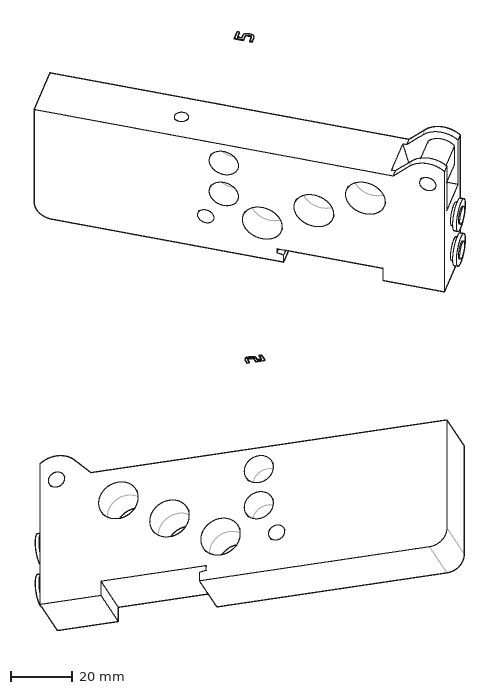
import cadquery as cq
import math

TOTAL_LENGTH = 142.2
TOTAL_HEIGHT = 82.6
WIDTH = 19.0

BODY_LENGTH = 139.4
BODY_HEIGHT = 46.1
CORNER_RADIUS = 6.0

EAR_X = 133.7
EAR_Z = 45.4
EAR_RADIUS = 8.8
BAR_RADIUS = 6.0
BAR_THICKNESS = 9.0

SLOT_WIDTH = 13.5
SLOT_START_X = 120.6
SLOT_RAMP_LENGTH = 3.4
SLOT_DEPTH = 13.1

NOTCH_START_X = 82.5
NOTCH_END_X = 118.5
NOTCH_HEIGHT = 5.3
HOOK_LENGTH = 2.3
HOOK_HEIGHT = 3.1
HOOK_SLOPE_RISE = 0.4

LARGE_DIAMETER = 13.5
LARGE_COUNT = 3
LARGE_FIRST_X = 77.5
LARGE_FIRST_Z = 15.2
LARGE_STEP_X = 17.5
LARGE_STEP_Z = 9.5
MEDIUM_DIAMETER = 10.0
MEDIUM_X = 64.4
MEDIUM_ZS = (24.7, 38.1)
SMALL_DIAMETER = 5.5
SMALL_X = 58.3
SMALL_Z = 13.7

TOP_HOLE_DIAMETER = 4.7
TOP_HOLE_X = 47.4
TOP_HOLE_DEPTH = 14.2

STUD_Y = 1.5
STUD_ZS = (9.5, 24.6)
NECK_DIAMETER = 8.0
HEAD_DIAMETER = 11.0
TIP_DIAMETER = 6.0
HEAD_THICKNESS = 1.3
TIP_LENGTH = 0.4
NECK_LENGTH = TOTAL_LENGTH - BODY_LENGTH - HEAD_THICKNESS - TIP_LENGTH

MARKER_X = 64.7
MARKER_Y = 2.0
MARKER_LENGTH = 6.1
MARKER_WIDTH = 3.4
MARKER_THICKNESS = 0.4
STROKE = 0.9
BOWL_START = 2.3
BOWL_RADIUS = 1.4


def cross_cylinder(x, z, diameter, length):
    """Cylinder along Y, centred on mid-width."""
    return cq.Workplane("XZ", origin=(x, 0, z)).circle(diameter / 2).extrude(length / 2, both=True)


def cross_prism(points, length):
    """Straight-sided outline in XZ, extruded along Y about mid-width."""
    return cq.Workplane("XZ").polyline(points).close().extrude(length / 2, both=True)


def housing_block():
    """Block with a rounded lower corner and a rounded hump for the ears, tangent to a 45 degree slope."""
    tangent_offset = EAR_RADIUS * math.sqrt(0.5)
    tangent_x = EAR_X - tangent_offset
    tangent_z = EAR_Z + tangent_offset
    slope_start_x = tangent_x - (tangent_z - BODY_HEIGHT)
    ear_end_z = EAR_Z + math.sqrt(EAR_RADIUS**2 - (BODY_LENGTH - EAR_X) ** 2)
    return (
        cq.Workplane("XZ")
        .moveTo(CORNER_RADIUS, 0)
        .lineTo(BODY_LENGTH, 0)
        .lineTo(BODY_LENGTH, ear_end_z)
        .threePointArc((EAR_X, EAR_Z + EAR_RADIUS), (tangent_x, tangent_z))
        .lineTo(slope_start_x, BODY_HEIGHT)
        .lineTo(0, BODY_HEIGHT)
        .lineTo(0, CORNER_RADIUS)
        .radiusArc((CORNER_RADIUS, 0), -CORNER_RADIUS)
        .close()
        .extrude(WIDTH / 2, both=True)
    )


def ear_slot():
    """Slot between the ears, open to the top and to the end face."""
    floor_z = BODY_HEIGHT - SLOT_DEPTH
    ear_top_z = EAR_Z + EAR_RADIUS
    return cross_prism(
        [
            (SLOT_START_X, ear_top_z),
            (SLOT_START_X, BODY_HEIGHT),
            (SLOT_START_X + SLOT_RAMP_LENGTH, floor_z),
            (BODY_LENGTH, floor_z),
            (BODY_LENGTH, ear_top_z),
        ],
        SLOT_WIDTH,
    )


def hinge_bar():
    """Round bar joining the ears, with a vertical flat on each side."""
    flats = cq.Workplane("XY", origin=(EAR_X, 0, EAR_Z)).box(BAR_THICKNESS, SLOT_WIDTH, 3 * BAR_RADIUS)
    return cross_cylinder(EAR_X, EAR_Z, 2 * BAR_RADIUS, SLOT_WIDTH).intersect(flats)


def rail_notch():
    """Notch in the underside, undercut by a hook at one end."""
    hook_tip_x = NOTCH_START_X + HOOK_LENGTH
    return cross_prism(
        [
            (hook_tip_x, 0),
            (hook_tip_x, HOOK_HEIGHT),
            (NOTCH_START_X, HOOK_HEIGHT + HOOK_SLOPE_RISE),
            (NOTCH_START_X, NOTCH_HEIGHT),
            (NOTCH_END_X, NOTCH_HEIGHT),
            (NOTCH_END_X, 0),
        ],
        WIDTH,
    )


def cross_holes():
    """Position and diameter of every hole through the width."""
    holes = [(EAR_X, EAR_Z, SMALL_DIAMETER), (SMALL_X, SMALL_Z, SMALL_DIAMETER)]
    holes += [(MEDIUM_X, z, MEDIUM_DIAMETER) for z in MEDIUM_ZS]
    for i in range(LARGE_COUNT):
        holes.append((LARGE_FIRST_X + i * LARGE_STEP_X, LARGE_FIRST_Z + i * LARGE_STEP_Z, LARGE_DIAMETER))
    return holes


def stud(z):
    """Neck, wider head and short tip, standing out of the end face."""
    return (
        cq.Workplane("YZ", origin=(BODY_LENGTH, STUD_Y, z))
        .circle(NECK_DIAMETER / 2)
        .extrude(NECK_LENGTH)
        .faces(">X")
        .workplane()
        .circle(HEAD_DIAMETER / 2)
        .extrude(HEAD_THICKNESS)
        .faces(">X")
        .workplane()
        .circle(TIP_DIAMETER / 2)
        .extrude(TIP_LENGTH)
    )


def make_housing():
    body = housing_block().cut(ear_slot()).union(hinge_bar()).cut(rail_notch())
    for x, z, diameter in cross_holes():
        body = body.cut(cross_cylinder(x, z, diameter, WIDTH))
    top_hole = (
        cq.Workplane("XY", origin=(TOP_HOLE_X, 0, BODY_HEIGHT))
        .circle(TOP_HOLE_DIAMETER / 2)
        .extrude(-TOP_HOLE_DEPTH)
    )
    body = body.cut(top_hole)
    for z in STUD_ZS:
        body = body.union(stud(z))
    return body


def make_marker():
    """Figure 5 made of a bar, a stem and an arched bowl of constant stroke width."""
    plane = cq.Workplane("XY", origin=(MARKER_X, MARKER_Y, TOTAL_HEIGHT - MARKER_THICKNESS))
    bar = plane.rect(STROKE, MARKER_WIDTH, centered=False).extrude(MARKER_THICKNESS)
    stem = plane.rect(BOWL_START + STROKE, STROKE, centered=False).extrude(MARKER_THICKNESS)
    bowl_opening_radius = BOWL_RADIUS - STROKE
    bowl = (
        plane.moveTo(BOWL_START, 0)
        .lineTo(BOWL_START, MARKER_WIDTH - BOWL_RADIUS)
        .radiusArc((BOWL_START + BOWL_RADIUS, MARKER_WIDTH), BOWL_RADIUS)
        .lineTo(MARKER_LENGTH - BOWL_RADIUS, MARKER_WIDTH)
        .radiusArc((MARKER_LENGTH, MARKER_WIDTH - BOWL_RADIUS), BOWL_RADIUS)
        .lineTo(MARKER_LENGTH, 0)
        .lineTo(MARKER_LENGTH - STROKE, 0)
        .lineTo(MARKER_LENGTH - STROKE, MARKER_WIDTH - BOWL_RADIUS)
        .radiusArc((MARKER_LENGTH - BOWL_RADIUS, MARKER_WIDTH - STROKE), -bowl_opening_radius)
        .lineTo(BOWL_START + BOWL_RADIUS, MARKER_WIDTH - STROKE)
        .radiusArc((BOWL_START + STROKE, MARKER_WIDTH - BOWL_RADIUS), -bowl_opening_radius)
        .lineTo(BOWL_START + STROKE, 0)
        .close()
        .extrude(MARKER_THICKNESS)
    )
    return bar.union(stem).union(bowl)


housing = make_housing()
marker = make_marker()

result = cq.Compound.makeCompound([housing.val(), marker.val()])